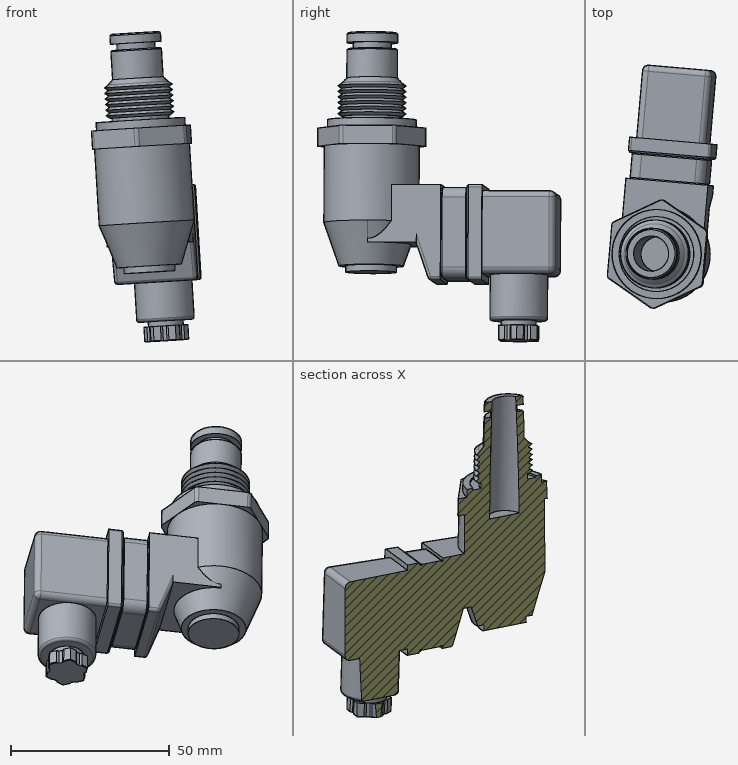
import cadquery as cq
import math

TILT = 3.5
TURN = 5.0

HEX_SIDES = 6
HEX_HALF_ANGLE = 180 / HEX_SIDES

TIP_DIA = 16.0
TIP_HEIGHT = 2.0
CONE_END_DIA = 20.3
CONE_TOP = 15.5
BODY_DIA = 30.0
HEX_BOTTOM = 39.7
HEX_HEIGHT = 5.8
HEX_CORNER_RADIUS = 1.5
COLLAR_DIA = 28.0
COLLAR_HEIGHT = 2.5
RECESS_DIA = 23.5
RECESS_DEPTH = 0.6
RELIEF_DIA = 18.0
HEX_TOP = HEX_BOTTOM + HEX_HEIGHT
COLLAR_TOP = HEX_TOP + COLLAR_HEIGHT

THREAD_CREST_DIA = 21.4
THREAD_ROOT_DIA = 19.0
THREAD_PITCH = 1.8
THREAD_RINGS = 6
THREAD_BOTTOM = 49.0
THREAD_TOP = THREAD_BOTTOM + THREAD_RINGS * THREAD_PITCH

PORT_DIA = 16.0
PORT_BOTTOM = 61.2
PORT_TOP = 70.3
PORT_CHAMFER = 0.4
PORT_NECK_DIA = 12.0
CAP_BOTTOM = 72.3
CAP_TOP = 75.4
CAP_CHAMFER = 0.5
BORE_DIA = 11.0
BORE_DEPTH = 38.7

CONNECTOR_MID_Z = 11.9
BLOCK_WIDTH = 26.0
BLOCK_HEIGHT = 30.0
BRACKET_END = 15.3
BRACKET_HEIGHT = 18.2
BLOCK_END = 23.0
BLOCK_FOOT_START = 19.2
BLOCK_SLOPE = 19.0
BLOCK_EDGE_RADIUS = 1.0
NECK_WIDTH = 23.8
NECK_HEIGHT = 28.5
NECK_RADIUS = 3.2
GROOVE_WIDTH = 0.4
GROOVE_DEPTH = 0.3
FLANGE_START = 31.2
FLANGE_END = 36.0
FLANGE_BEVEL = 0.6
FLANGE_CORNER_RADIUS = 0.8
HOUSING_WIDTH = 21.9
HOUSING_HEIGHT = 26.1
HOUSING_MID_Z = 12.1
HOUSING_END = 59.0
HOUSING_RADIUS = 2.0
BLOCK_TOP = CONNECTOR_MID_Z + BLOCK_HEIGHT / 2
BLOCK_BOTTOM = CONNECTOR_MID_Z - BLOCK_HEIGHT / 2

GLAND_Y = 46.7
GLAND_DIA = 18.2
GLAND_BOTTOM = -15.3
GLAND_RADIUS = 0.9
GLAND_NECK_DIA = 11.0
KNOB_CORNER_DIA = 14.0
KNOB_TOP = -16.9
KNOB_BOTTOM = -21.6
KNOB_CHAMFER = 0.2
NOTCH_WIDTH = 2.4
NOTCH_FLOOR_WIDTH = 1.2
NOTCH_DEPTH = 0.6


def cylinder(diameter, bottom, top):
    return cq.Workplane("XY").workplane(offset=bottom).circle(diameter / 2).extrude(top - bottom)


def valve_body():
    """Body of revolution from the lower tip up to the port cap."""
    profile = [
        (0, 0),
        (TIP_DIA / 2, 0),
        (TIP_DIA / 2, TIP_HEIGHT),
        (CONE_END_DIA / 2, TIP_HEIGHT),
        (BODY_DIA / 2, CONE_TOP),
        (BODY_DIA / 2, HEX_TOP),
        (COLLAR_DIA / 2, HEX_TOP),
        (COLLAR_DIA / 2, COLLAR_TOP),
        (RECESS_DIA / 2, COLLAR_TOP),
        (RECESS_DIA / 2, COLLAR_TOP - RECESS_DEPTH),
        (RELIEF_DIA / 2, COLLAR_TOP - RECESS_DEPTH),
        (RELIEF_DIA / 2, THREAD_BOTTOM),
    ]
    for ring in range(THREAD_RINGS):
        ring_bottom = THREAD_BOTTOM + ring * THREAD_PITCH
        profile.append((THREAD_ROOT_DIA / 2, ring_bottom))
        profile.append((THREAD_CREST_DIA / 2, ring_bottom + THREAD_PITCH / 2))
    profile += [
        (THREAD_ROOT_DIA / 2, THREAD_TOP),
        (PORT_DIA / 2, PORT_BOTTOM),
        (PORT_DIA / 2, PORT_TOP - PORT_CHAMFER),
        (PORT_DIA / 2 - PORT_CHAMFER, PORT_TOP),
        (PORT_NECK_DIA / 2, PORT_TOP),
        (PORT_NECK_DIA / 2, CAP_BOTTOM),
        (PORT_DIA / 2, CAP_BOTTOM),
        (PORT_DIA / 2, CAP_TOP - CAP_CHAMFER),
        (PORT_DIA / 2 - CAP_CHAMFER, CAP_TOP),
        (0, CAP_TOP),
    ]
    return cq.Workplane("XZ").polyline(profile).close().revolve(360, (0, 0), (0, 1))


def hex_nut():
    """Hexagon with two flats facing -X and +X; the flats touch the body diameter."""
    corner_dia = BODY_DIA / math.cos(math.radians(HEX_HALF_ANGLE))
    nut = cq.Workplane("XY").workplane(offset=HEX_BOTTOM).polygon(HEX_SIDES, corner_dia).extrude(HEX_HEIGHT)
    return nut.edges("|Z").fillet(HEX_CORNER_RADIUS).rotate((0, 0, 0), (0, 0, 1), HEX_HALF_ANGLE)


def connector_slab(width, height, start, end, mid_z=CONNECTOR_MID_Z):
    """Box centred across the connector at height mid_z, from start to end along Y."""
    slab = cq.Workplane("XY").box(width, end - start, height, centered=(True, False, True))
    return slab.translate((0, start, mid_z))


def bracket():
    """Plate joining the body to the connector block."""
    plate = cq.Workplane("XY").box(BLOCK_WIDTH, BRACKET_END, BRACKET_HEIGHT, centered=(True, False, False))
    return plate.translate((0, 0, BLOCK_TOP - BRACKET_HEIGHT))


def block():
    """Connector block with a sloping underside and rounded lower edges."""
    slope_run = BLOCK_HEIGHT * math.tan(math.radians(BLOCK_SLOPE))
    outline = [
        (BLOCK_END, BLOCK_TOP),
        (BLOCK_END, BLOCK_BOTTOM),
        (BLOCK_FOOT_START, BLOCK_BOTTOM),
        (BLOCK_FOOT_START - slope_run, BLOCK_TOP),
    ]
    solid = cq.Workplane("YZ").polyline(outline).close().extrude(BLOCK_WIDTH / 2, both=True)
    return solid.edges("not (>Z or >Y)").fillet(BLOCK_EDGE_RADIUS)


def neck():
    """Rounded neck with a shallow groove all round at each end."""
    core_width = NECK_WIDTH - 2 * GROOVE_DEPTH
    core_height = NECK_HEIGHT - 2 * GROOVE_DEPTH
    core = connector_slab(core_width, core_height, BLOCK_END, FLANGE_START)
    core = core.edges("|Y").fillet(NECK_RADIUS - GROOVE_DEPTH)
    shell = connector_slab(NECK_WIDTH, NECK_HEIGHT, BLOCK_END + GROOVE_WIDTH, FLANGE_START - GROOVE_WIDTH)
    return core.union(shell.edges("|Y").fillet(NECK_RADIUS))


def flange():
    """Rectangular plate, bevelled on the neck side."""
    plate = connector_slab(BLOCK_WIDTH, BLOCK_HEIGHT, FLANGE_START, FLANGE_END)
    return plate.edges("|Y").fillet(FLANGE_CORNER_RADIUS).faces("<Y").chamfer(FLANGE_BEVEL)


def housing():
    """Terminal housing, rounded along its length and around its far end."""
    box = connector_slab(HOUSING_WIDTH, HOUSING_HEIGHT, FLANGE_END, HOUSING_END, HOUSING_MID_Z)
    return box.edges("|Y or >Y").fillet(HOUSING_RADIUS)


def gland():
    """Round cable outlet hanging below the housing, closed by a notched hexagonal knob."""
    sleeve = cylinder(GLAND_DIA, GLAND_BOTTOM, HOUSING_MID_Z).faces("<Z").edges().fillet(GLAND_RADIUS)
    stem = cylinder(GLAND_NECK_DIA, KNOB_TOP, GLAND_BOTTOM)
    knob = cq.Workplane("XY").workplane(offset=KNOB_BOTTOM).polygon(HEX_SIDES, KNOB_CORNER_DIA)
    knob = knob.extrude(KNOB_TOP - KNOB_BOTTOM).faces("<Z").chamfer(KNOB_CHAMFER)

    flat_distance = KNOB_CORNER_DIA / 2 * math.cos(math.radians(HEX_HALF_ANGLE))
    notch_outline = [
        (flat_distance, -NOTCH_WIDTH / 2),
        (flat_distance, NOTCH_WIDTH / 2),
        (flat_distance - NOTCH_DEPTH, NOTCH_FLOOR_WIDTH / 2),
        (flat_distance - NOTCH_DEPTH, -NOTCH_FLOOR_WIDTH / 2),
    ]
    notch = cq.Workplane("XY").workplane(offset=KNOB_BOTTOM).polyline(notch_outline).close()
    notch = notch.extrude(KNOB_TOP - KNOB_BOTTOM)
    for side in range(HEX_SIDES):
        knob = knob.cut(notch.rotate((0, 0, 0), (0, 0, 1), (2 * side + 1) * HEX_HALF_ANGLE))
    return sleeve.union(stem).union(knob).translate((0, GLAND_Y, 0))


valve = valve_body().union(hex_nut())
for piece in (bracket(), block(), neck(), flange(), housing(), gland()):
    valve = valve.union(piece)
valve = valve.cut(cylinder(BORE_DIA, CAP_TOP - BORE_DEPTH, CAP_TOP))

valve = valve.rotate((0, 0, 0), (0, 1, 0), -TILT)
result = valve.rotate((0, 0, 0), (0, 0, 1), -TURN)